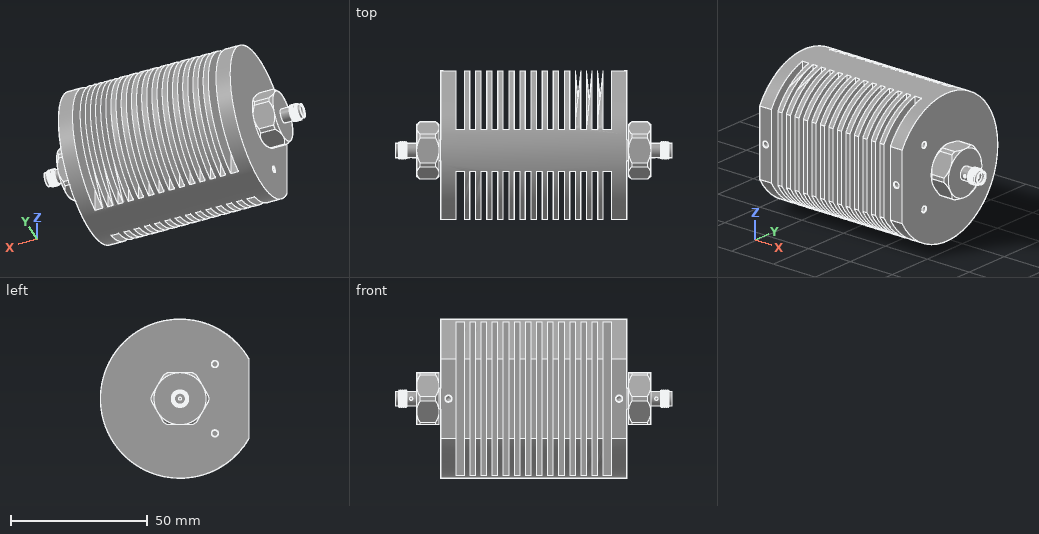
import cadquery as cq
import math

drum_length = 68.1
drum_radius = 29.2
flat_distance = 25.3
web_thickness = 15.4

fin_count = 13
fin_stack_length = 50.8
fin_thickness = fin_stack_length / (2 * fin_count - 1)
fin_pitch = 2 * fin_thickness
end_slot_width = 3.0
end_wall_thickness = (drum_length - fin_stack_length) / 2 - end_slot_width

hole_diameter = 2.2
hole_chamfer = 0.2
hole_depth = 4.1
end_hole_y = -12.8
end_hole_z = 12.7
drill_point_angle = 118.0

nut_length = 8.2
nut_across_flats = 19.1
nut_corner_diameter = 21.1
nut_chamfer_length = 1.2
hex_turn = 30.0
collar_length = 0.6
collar_diameter = 7.7

overall_length = 101.4
connector_length = (overall_length - drum_length) / 2 - collar_length - nut_length
barrel_diameter = 5.4
thread_diameter = 6.4
thread_root_diameter = 5.5
thread_length = 3.1
thread_bevel = 0.3
thread_pitch = 0.7
groove_clearance = 0.1
groove_overrun = thread_pitch
groove_start_angle = -90.0
thread_setback = 1.1
thread_groove_width = 0.6
bore_diameter = 4.1
bore_depth = 1.5
bore_chamfer = 0.3
contact_diameter = 1.1
contact_depth = 1.5
cross_hole_diameter = 1.2
cross_hole_depth = 0.6
cross_hole_distance = 2.0


def x_cylinder(start_x, length, diameter):
    """Cylinder on the X axis, running from start_x towards +X."""
    return cq.Workplane("YZ", origin=(start_x, 0, 0)).circle(diameter / 2).extrude(length)


def slot_pair(start_x, width):
    """Front and rear slots at one X position, leaving the web between them."""
    slot_height = 2 * drum_radius
    block = cq.Workplane("XY").box(width, 2 * drum_radius, slot_height, centered=(False, True, True))
    web = cq.Workplane("XY").box(width, web_thickness, slot_height, centered=(False, True, True))
    return block.cut(web).translate((start_x, 0, 0))


def hole_cutter(point_length):
    """Chamfered blind hole along +Y from the origin; its bottom is a cone, or flat if point_length is 0."""
    radius = hole_diameter / 2
    profile = [(0, 0), (radius + hole_chamfer, 0), (radius, hole_chamfer), (radius, hole_depth)]
    profile.append((0, hole_depth + point_length))
    return cq.Workplane("XY").polyline(profile).close().revolve(360, (0, 0, 0), (0, 1, 0))


def make_heat_sink():
    drum = x_cylinder(-drum_length / 2, drum_length, 2 * drum_radius)
    flat_cutter = cq.Workplane("XY").box(
        drum_length, drum_radius, 2 * drum_radius, centered=(True, False, True)
    )
    drum = drum.cut(flat_cutter.translate((0, -flat_distance - drum_radius, 0)))

    stack_start = -fin_stack_length / 2
    drum = drum.cut(slot_pair(stack_start - end_slot_width, end_slot_width))
    drum = drum.cut(slot_pair(-stack_start, end_slot_width))
    for gap in range(fin_count - 1):
        drum = drum.cut(slot_pair(stack_start + fin_thickness + gap * fin_pitch, fin_thickness))

    drill_point = hole_diameter / 2 / math.tan(math.radians(drill_point_angle / 2))
    flat_hole = hole_cutter(drill_point)
    end_hole = hole_cutter(0)
    flat_hole_x = (drum_length - end_wall_thickness) / 2
    for side in (-1, 1):
        drum = drum.cut(flat_hole.translate((side * flat_hole_x, -flat_distance, 0)))
        inward_hole = end_hole.rotate((0, 0, 0), (0, 0, 1), side * 90)
        for z in (-end_hole_z, end_hole_z):
            drum = drum.cut(inward_hole.translate((side * drum_length / 2, end_hole_y, z)))
    return drum


def make_nut():
    """Hex nut and collar for the -X end."""
    collar_start = -drum_length / 2 - collar_length
    nut_start = collar_start - nut_length
    hexagon = (
        cq.Workplane("YZ", origin=(nut_start, 0, 0))
        .polygon(6, nut_across_flats, circumscribed=True)
        .extrude(nut_length)
        .rotate((0, 0, 0), (1, 0, 0), hex_turn)
    )
    corner_depth = (nut_corner_diameter - nut_across_flats) / 2
    turned_blank = (
        x_cylinder(nut_start, nut_length, nut_corner_diameter)
        .faces("<X or >X")
        .edges()
        .chamfer(nut_chamfer_length, corner_depth)
    )
    return hexagon.intersect(turned_blank).union(x_cylinder(collar_start, collar_length, collar_diameter))


def thread_groove(thread_start):
    """Helical V groove about the X axis, overrunning both ends of the thread."""
    root_radius = thread_root_diameter / 2
    mouth_radius = thread_diameter / 2 + groove_clearance
    half_width = thread_groove_width / 2
    helix = cq.Wire.makeHelix(thread_pitch, thread_length + 2 * groove_overrun, root_radius)
    groove = (
        cq.Workplane("XZ")
        .polyline([(root_radius, 0), (mouth_radius, half_width), (mouth_radius, -half_width)])
        .close()
        .sweep(cq.Workplane(obj=helix), isFrenet=True)
    )
    groove = groove.rotate((0, 0, 0), (0, 1, 0), 90)
    groove = groove.rotate((0, 0, 0), (1, 0, 0), groove_start_angle)
    return groove.translate((thread_start - groove_overrun, 0, 0))


def make_connector():
    """Threaded coaxial connector for the -X end, opening towards -X."""
    tip_x = -overall_length / 2
    nut_face_x = tip_x + connector_length
    thread_start = tip_x + thread_setback
    thread_end = thread_start + thread_length
    barrel_radius = barrel_diameter / 2
    crest_radius = thread_diameter / 2
    connector = (
        cq.Workplane("XZ")
        .polyline([
            (tip_x, 0),
            (tip_x, barrel_radius),
            (thread_start, barrel_radius),
            (thread_start, crest_radius - thread_bevel),
            (thread_start + thread_bevel, crest_radius),
            (thread_end - thread_bevel, crest_radius),
            (thread_end, crest_radius - thread_bevel),
            (thread_end, barrel_radius),
            (nut_face_x, barrel_radius),
            (nut_face_x, 0),
        ])
        .close()
        .revolve(360, (0, 0, 0), (1, 0, 0))
    )
    connector = connector.cut(thread_groove(thread_start))

    bore = x_cylinder(tip_x, bore_depth, bore_diameter)
    bore_mouth = cq.Solid.makeCone(
        bore_diameter / 2 + bore_chamfer, bore_diameter / 2, bore_chamfer,
        cq.Vector(tip_x, 0, 0), cq.Vector(1, 0, 0),
    )
    contact_socket = x_cylinder(tip_x + bore_depth, contact_depth, contact_diameter)
    connector = connector.cut(bore).cut(cq.Workplane(bore_mouth)).cut(contact_socket)

    cross_hole = (
        cq.Workplane("XZ", origin=(nut_face_x - cross_hole_distance, -barrel_radius, 0))
        .circle(cross_hole_diameter / 2)
        .extrude(-cross_hole_depth)
    )
    return connector.cut(cross_hole)


heat_sink = make_heat_sink()
nut = make_nut()
connector = make_connector()

nuts = []
connectors = []
for turn in (0, 180):
    nuts.append(nut.rotate((0, 0, 0), (0, 1, 0), turn).val())
    connectors.append(connector.rotate((0, 0, 0), (0, 1, 0), turn).val())

result = cq.Compound.makeCompound([heat_sink.val(), *nuts, *connectors])